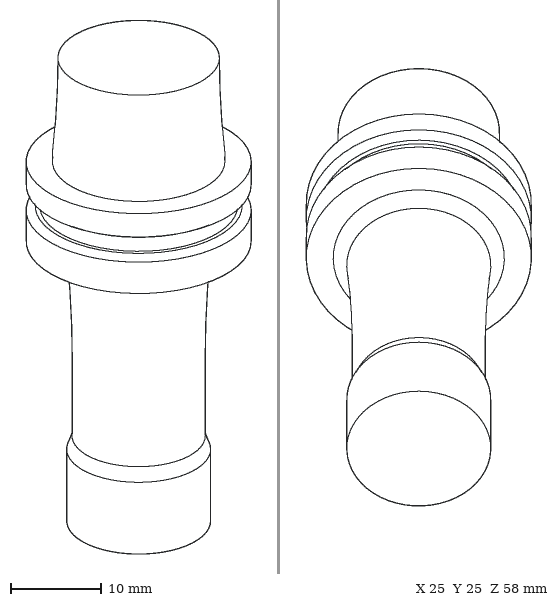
import cadquery as cq
import math

total_height = 58.0
nose_length = 13.0
nose_band_height = 1.0
flange_thickness = 10.0
groove_floor_width = 2.0
groove_floor_depth = 3.5
tip_height = 9.0

flange_diameter = 25.0
groove_diameter = 22.0
nose_base_diameter = 19.15
neck_top_diameter = 16.0
shank_diameter = 14.8
tip_diameter = 16.0
collar_diameter = 19.0

nose_flank_radius = 120.0
neck_flank_radius = 150.0
bevel_angle = math.radians(30)
bevel_depth = 1.0
collar_cone_height = 1.4
tip_cone_angle = math.radians(20)
neck_flank_bottom = 20.3

flange_radius = flange_diameter / 2
groove_radius = groove_diameter / 2
nose_base_radius = nose_base_diameter / 2
neck_top_radius = neck_top_diameter / 2
shank_radius = shank_diameter / 2
tip_radius = tip_diameter / 2
collar_radius = collar_diameter / 2

flange_top = total_height - nose_length
flange_bottom = flange_top - flange_thickness
nose_band_top = flange_top + nose_band_height
neck_top = flange_bottom - collar_cone_height
tip_cone_top = tip_height + (tip_radius - shank_radius) / math.tan(tip_cone_angle)


def arc_offset(radius, distance):
    """Outward rise of an arc at an axial distance from its axis-parallel tangent point."""
    return radius - math.sqrt(radius**2 - distance**2)


def make_body():
    """Revolve the ungrooved outline: tip, shank, flared neck, collar, flange and tapered nose."""
    neck_middle = (neck_flank_bottom + neck_top) / 2
    neck_middle_radius = shank_radius + arc_offset(neck_flank_radius, neck_middle - neck_flank_bottom)

    nose_middle = (nose_band_top + total_height) / 2
    nose_top_radius = nose_base_radius - arc_offset(nose_flank_radius, total_height - nose_band_top)
    nose_middle_radius = nose_top_radius + arc_offset(nose_flank_radius, total_height - nose_middle)

    outline = (
        cq.Workplane("XZ")
        .lineTo(tip_radius, 0)
        .lineTo(tip_radius, tip_height)
        .lineTo(shank_radius, tip_cone_top)
        .lineTo(shank_radius, neck_flank_bottom)
        .threePointArc((neck_middle_radius, neck_middle), (neck_top_radius, neck_top))
        .lineTo(collar_radius, flange_bottom)
        .lineTo(flange_radius, flange_bottom)
        .lineTo(flange_radius, flange_top)
        .lineTo(nose_base_radius, flange_top)
        .lineTo(nose_base_radius, nose_band_top)
        .threePointArc((nose_middle_radius, nose_middle), (nose_top_radius, total_height))
        .lineTo(0, total_height)
        .close()
    )
    return outline.revolve(360, (0, 0, 0), (0, 1, 0))


def make_groove():
    """Ring that cuts the gripper groove, with bevelled lips, out of the flange rim."""
    floor_top = flange_top - groove_floor_depth
    floor_bottom = floor_top - groove_floor_width
    bevel_height = bevel_depth * math.tan(bevel_angle)
    bevel_radius = flange_radius - bevel_depth
    outline = (
        cq.Workplane("XZ")
        .moveTo(flange_radius, floor_top + bevel_height)
        .lineTo(bevel_radius, floor_top)
        .lineTo(groove_radius, floor_top)
        .lineTo(groove_radius, floor_bottom)
        .lineTo(bevel_radius, floor_bottom)
        .lineTo(flange_radius, floor_bottom - bevel_height)
        .close()
    )
    return outline.revolve(360, (0, 0, 0), (0, 1, 0))


result = make_body().cut(make_groove())